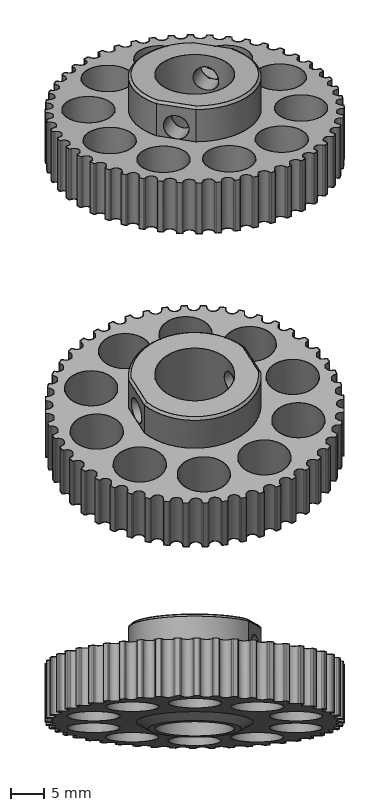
import cadquery as cq
import math

overall_size = 44.95
disc_height = 8.8
tooth_count = 48
groove_radius = 0.95
corner_radius = 0.157
flank_lean_degrees = 11
groove_floor_radius = 21.35

lightening_hole_count = 10
lightening_hole_diameter = 8.0
lightening_circle_radius = 16.0
first_lightening_hole_angle = 90

hub_diameter = 20.0
hub_height = 5.98
hub_across_flats = 19.0
hub_chamfer = 0.4
cross_hole_diameter = 4.0

boss_height = 1.05
boss_top_diameter = 17.55
boss_bottom_diameter = 14.0

bore_diameter = 12.0

hub_base_z = disc_height
hub_top_z = disc_height + hub_height
cross_hole_z = hub_base_z + cross_hole_diameter / 2


def rotated(point, angle):
    """Turn a point about the origin by an angle in radians."""
    x, y = point
    return (
        x * math.cos(angle) - y * math.sin(angle),
        x * math.sin(angle) + y * math.cos(angle),
    )


def mirrored(point):
    """Mirror a point across the X axis, the centre line of the first groove."""
    return (point[0], -point[1])


def toothed_disc():
    """Disc with round-bottomed belt grooves between teeth with rounded corners."""
    pitch_angle = 2 * math.pi / tooth_count

    flank_lean = math.radians(flank_lean_degrees)
    groove_centre_x = groove_floor_radius + groove_radius
    corner_x = overall_size / 2 - corner_radius
    centre_offset = groove_radius + corner_radius
    axial_gap = corner_x - groove_centre_x
    flank_length = (axial_gap + centre_offset * math.sin(flank_lean)) / math.cos(flank_lean)
    corner_y = centre_offset * math.cos(flank_lean) + flank_length * math.sin(flank_lean)
    tooth_tip_radius = math.hypot(corner_x, corner_y) + corner_radius

    groove_floor = (groove_floor_radius, 0)
    groove_end = (
        groove_centre_x - groove_radius * math.sin(flank_lean),
        groove_radius * math.cos(flank_lean),
    )
    flank_end = (
        corner_x + corner_radius * math.sin(flank_lean),
        corner_y - corner_radius * math.cos(flank_lean),
    )
    tip_direction = math.atan2(corner_y, corner_x)
    flank_direction = flank_lean - math.pi / 2
    middle_direction = (tip_direction + flank_direction) / 2
    corner_middle = (
        corner_x + corner_radius * math.cos(middle_direction),
        corner_y + corner_radius * math.sin(middle_direction),
    )
    tip_start = rotated((tooth_tip_radius, 0), tip_direction)
    tip_middle = rotated((tooth_tip_radius, 0), pitch_angle / 2)

    outline = cq.Workplane("XY").moveTo(*mirrored(tip_start))
    for tooth in range(tooth_count):
        turn = tooth * pitch_angle
        outline = (
            outline.threePointArc(rotated(mirrored(corner_middle), turn), rotated(mirrored(flank_end), turn))
            .lineTo(*rotated(mirrored(groove_end), turn))
            .threePointArc(rotated(groove_floor, turn), rotated(groove_end, turn))
            .lineTo(*rotated(flank_end, turn))
            .threePointArc(rotated(corner_middle, turn), rotated(tip_start, turn))
            .threePointArc(rotated(tip_middle, turn), rotated(mirrored(tip_start), turn + pitch_angle))
        )
    return outline.close().extrude(disc_height)


def hub():
    """Round hub with two opposite flats and a chamfered top edge."""
    cylinder = cq.Workplane("XY").workplane(offset=hub_base_z).circle(hub_diameter / 2).extrude(hub_height)
    flats = (
        cq.Workplane("XY")
        .workplane(offset=hub_base_z)
        .rect(hub_diameter, hub_across_flats)
        .extrude(hub_height)
    )
    return cylinder.intersect(flats).faces(">Z").edges().chamfer(hub_chamfer)


def boss():
    """Cone frustum that narrows downward from the disc."""
    return (
        cq.Workplane("XY")
        .circle(boss_top_diameter / 2)
        .workplane(offset=-boss_height)
        .circle(boss_bottom_diameter / 2)
        .loft(ruled=True)
    )


def lightening_holes():
    """Ring of round holes through the disc."""
    return (
        cq.Workplane("XY")
        .polarArray(lightening_circle_radius, first_lightening_hole_angle, 360, lightening_hole_count)
        .circle(lightening_hole_diameter / 2)
        .extrude(disc_height)
    )


def bore():
    """Central hole through boss, disc and hub."""
    return (
        cq.Workplane("XY")
        .workplane(offset=-boss_height)
        .circle(bore_diameter / 2)
        .extrude(boss_height + hub_top_z)
    )


def cross_hole():
    """Hole along Y through both flats of the hub."""
    return (
        cq.Workplane("XZ")
        .center(0, cross_hole_z)
        .circle(cross_hole_diameter / 2)
        .extrude(hub_diameter / 2, both=True)
    )


result = (
    toothed_disc()
    .union(hub())
    .union(boss())
    .cut(lightening_holes())
    .cut(bore())
    .cut(cross_hole())
)